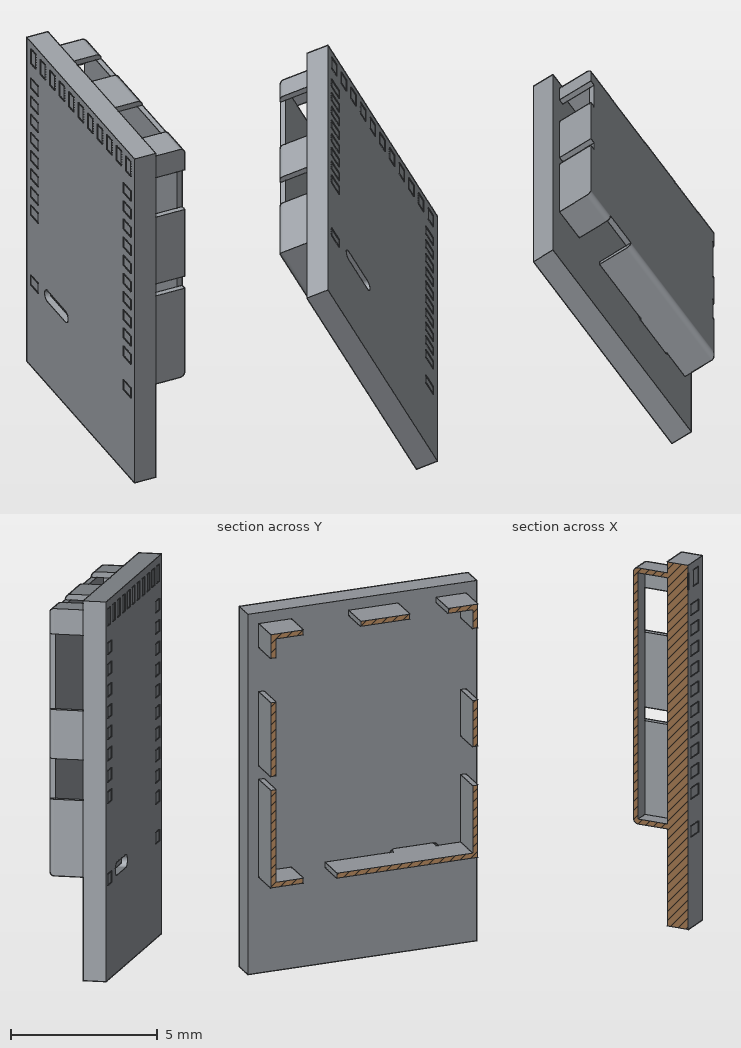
import cadquery as cq

BOARD_WIDTH = 8.4
BOARD_HEIGHT = 13.2
BOARD_THICKNESS = 0.8
LEFT = -BOARD_WIDTH / 2
TOP = BOARD_HEIGHT / 2
BOARD_BACK = BOARD_THICKNESS

PAD_LENGTH = 0.6
PAD_WIDTH = 0.4
PAD_DEPTH = 0.03
PAD_PITCH = 0.74
PAD_INSET = 0.6
TOP_PAD_COUNT = 11
FIRST_SIDE_PAD_DROP = 1.69
LEFT_PAD_COUNT = 8
RIGHT_PAD_COUNT = 10
LOW_PAD_DROP = 9.72

TOTAL_DEPTH = 2.1
SHEET = 0.2
BEND_RADIUS = SHEET
SHIELD_MARGIN = 0.4
SHIELD_DROP = 9.69
SHIELD_LEFT = LEFT + SHIELD_MARGIN
SHIELD_RIGHT = -SHIELD_LEFT
SHIELD_TOP = TOP - SHIELD_MARGIN
SHIELD_BOTTOM = TOP - SHIELD_DROP

TOP_WINDOWS = [(1.49, 2.89), (4.7, 6.8)]
BOTTOM_WINDOWS = [(5.57, 6.8)]
LEFT_WINDOWS = [(1.28, 3.91), (5.61, 7.02)]
RIGHT_WINDOWS = [(1.28, 2.89), (5.61, 6.1)]

SLOT_LENGTH = 1.82
SLOT_WIDTH = 0.45
SLOT_OFFSET = 2.31
SLOT_DROP = 9.6
PIN_WIDTH = 1.56
PIN_OFFSET = 2.27
PIN_TIP = 0.17


def block(x_range, y_range, z_range):
    """Box spanning the given (low, high) ranges."""
    sides = [high - low for low, high in (x_range, y_range, z_range)]
    corner = (x_range[0], y_range[0], z_range[0])
    return cq.Workplane("XY").box(*sides, centered=False).translate(corner)


def pad_recesses(centres, size_x, size_z):
    """Shallow rectangular cutters at (x, z) points on the board's front face."""
    return (
        cq.Workplane("XZ")
        .pushPoints(centres)
        .rect(size_x, size_z)
        .extrude(-PAD_DEPTH)
    )


def column_centres(x, count):
    """Evenly spaced pads down one side, followed by the lone low pad."""
    drops = [FIRST_SIDE_PAD_DROP + i * PAD_PITCH for i in range(count)]
    drops.append(LOW_PAD_DROP)
    return [(x, TOP - drop) for drop in drops]


def make_board():
    board = block((LEFT, -LEFT), (0, BOARD_BACK), (-TOP, TOP))

    row_start = -PAD_PITCH * (TOP_PAD_COUNT - 1) / 2
    row = [(row_start + i * PAD_PITCH, TOP - PAD_INSET) for i in range(TOP_PAD_COUNT)]
    board = board.cut(pad_recesses(row, PAD_WIDTH, PAD_LENGTH))

    column_x = LEFT + PAD_INSET
    columns = column_centres(column_x, LEFT_PAD_COUNT) + column_centres(-column_x, RIGHT_PAD_COUNT)
    board = board.cut(pad_recesses(columns, PAD_LENGTH, PAD_WIDTH))

    slot = (
        cq.Workplane("XZ")
        .center(LEFT + SLOT_OFFSET, TOP - SLOT_DROP)
        .slot2D(SLOT_LENGTH, SLOT_WIDTH)
        .extrude(-BOARD_THICKNESS)
    )
    return board.cut(slot)


def make_shield():
    depth_range = (BOARD_BACK, TOTAL_DEPTH)
    shield = block((SHIELD_LEFT, SHIELD_RIGHT), depth_range, (SHIELD_BOTTOM, SHIELD_TOP))

    shield = shield.faces(">Y").edges("|X or <X").fillet(BEND_RADIUS)

    inner_x = (SHIELD_LEFT + SHEET, SHIELD_RIGHT - SHEET)
    inner_z = (SHIELD_BOTTOM + SHEET, SHIELD_TOP - SHEET)
    shield = shield.cut(block(inner_x, (BOARD_BACK, TOTAL_DEPTH - SHEET), inner_z))

    wall_strips_z = [
        (TOP_WINDOWS, (SHIELD_TOP - SHEET, SHIELD_TOP)),
        (BOTTOM_WINDOWS, (SHIELD_BOTTOM, SHIELD_BOTTOM + SHEET)),
    ]
    for windows, strip in wall_strips_z:
        for start, end in windows:
            shield = shield.cut(block((LEFT + start, LEFT + end), depth_range, strip))

    wall_strips_x = [
        (LEFT_WINDOWS, (SHIELD_LEFT, SHIELD_LEFT + SHEET)),
        (RIGHT_WINDOWS, (SHIELD_RIGHT - SHEET, SHIELD_RIGHT)),
    ]
    for windows, strip in wall_strips_x:
        for start, end in windows:
            shield = shield.cut(block(strip, depth_range, (TOP - end, TOP - start)))
    return shield


def make_pin():
    """Tongue of the shield's bottom wall reaching forward into the slot."""
    pin_centre = LEFT + PIN_OFFSET
    return block(
        (pin_centre - PIN_WIDTH / 2, pin_centre + PIN_WIDTH / 2),
        (PIN_TIP, BOARD_BACK + SHEET),
        (SHIELD_BOTTOM, SHIELD_BOTTOM + SHEET),
    )


result = make_board().union(make_shield()).union(make_pin())